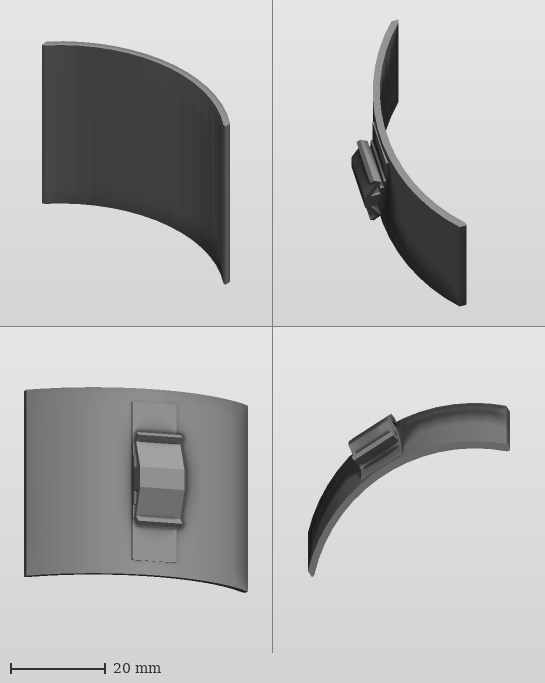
import cadquery as cq
import math

width = 50.0
height = 40.0
total_depth = 16.4
outer_radius = 36.25
thickness = 1.5
inner_radius = outer_radius - thickness

shell_apex_depth = 4.85
centre_y = -(shell_apex_depth + outer_radius)
front_y = -total_depth

bevel_outer_x = 24.65
bevel_inner_x = 24.3

clip_width = 10.0
mount_steps = [(17.0, 4.7), (8.15, 4.2), (5.25, 3.4)]

stem_half_height = 2.5
back_half_height = 2.2
arm_root_depth = 1.3
elbow_inner = (3.6, 8.3)
elbow_outer = (2.4, 8.0)
lip_tip_inner = (1.95, 9.95)
lip_tip_outer = (1.15, 9.25)


def arc_y(radius, x):
    """Y of the back of a circle about the shell axis, at the given X."""
    return centre_y + math.sqrt(radius**2 - x**2)


def curved_shell():
    side = width / 2
    return (
        cq.Workplane("XY", origin=(0, 0, -height / 2))
        .moveTo(-side, arc_y(outer_radius, side))
        .threePointArc((0, -shell_apex_depth), (side, arc_y(outer_radius, side)))
        .lineTo(side, front_y)
        .lineTo(bevel_outer_x, front_y)
        .lineTo(bevel_inner_x, arc_y(inner_radius, bevel_inner_x))
        .threePointArc(
            (0, -shell_apex_depth - thickness),
            (-bevel_inner_x, arc_y(inner_radius, bevel_inner_x)),
        )
        .lineTo(-bevel_outer_x, front_y)
        .lineTo(-side, front_y)
        .close()
        .extrude(height)
    )


def clip_block(half_height, back_depth):
    """Block across the clip width, reaching forward to the middle of the shell wall."""
    side_sag = outer_radius - math.sqrt(outer_radius**2 - (clip_width / 2) ** 2)
    front_depth = shell_apex_depth + side_sag + thickness / 2
    depth = front_depth - back_depth
    block = cq.Workplane("XY").box(clip_width, depth, 2 * half_height)
    return block.translate((0, -back_depth - depth / 2, 0))


def spring_arm():
    """Upper arm, drawn from the middle of the stem out to the lip."""
    outline = [
        (0, 0),
        (0, back_half_height),
        elbow_outer,
        lip_tip_outer,
        lip_tip_inner,
        elbow_inner,
        (arm_root_depth, stem_half_height),
        (arm_root_depth, 0),
    ]
    return (
        cq.Workplane("YZ")
        .polyline([(-depth, z) for depth, z in outline])
        .close()
        .extrude(clip_width / 2, both=True)
    )


result = curved_shell()
for step_half_height, step_depth in mount_steps:
    result = result.union(clip_block(step_half_height, step_depth))

result = result.union(clip_block(stem_half_height, arm_root_depth))
upper_arm = spring_arm()
result = result.union(upper_arm).union(upper_arm.mirror("XY"))